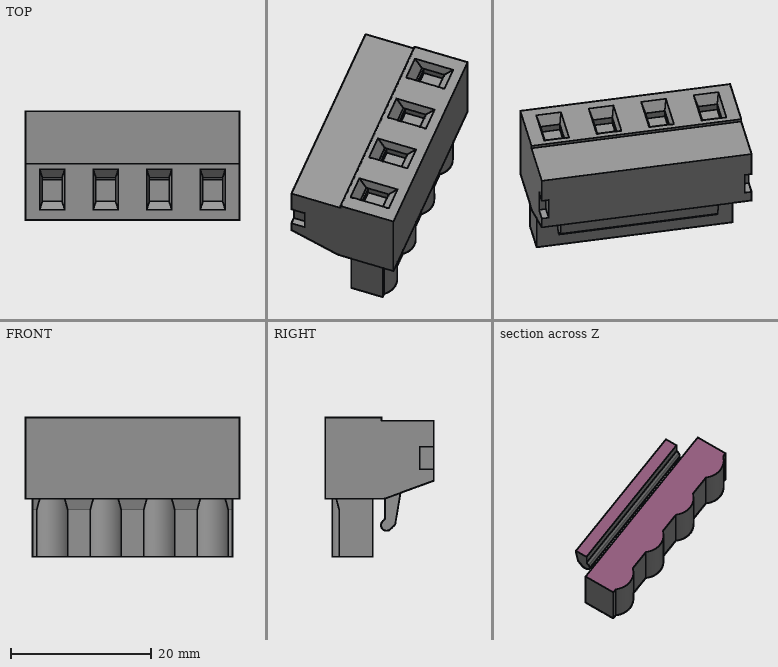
import cadquery as cq
import math


poles = 4
pitch = 7.62
total_height = 19.85

housing_depth = 15.5
housing_bottom = 8.25
back_top_drop = 0.45
step_y = 8.05
slope_start_y = 8.4
slope_angle = 20

groove_depth = 1.0
groove_length = 2.0
groove_bottom = 12.45
groove_height = 3.25

base_inset = 1.0
base_front_y = 2.0
base_back_y = 6.8
tower_front_y = 1.0
tower_radius = 2.9
gusset_height = 1.5
gusset_angle = 15

funnel_width = 3.6
funnel_length = 5.8
funnel_center_y = 4.35
funnel_depth = 1.2
side_taper = 0.4
end_taper = 1.2
ledge_width = 0.3
well_depth = 1.0

latch_front_y = 8.5
latch_root_y = 10.75
latch_elbow_y = 10.0
hook_radius = 0.8
hook_center_y = 8.75
hook_bottom = 3.7

housing_width = poles * pitch
half_width = housing_width / 2
base_width = housing_width - 2 * base_inset
latch_width = (poles - 1) * pitch
pole_positions = [(i - (poles - 1) / 2) * pitch for i in range(poles)]


def extrude_along_x(profile, width):
    """Extrude a closed YZ profile by `width`, centred on X = 0."""
    return profile.extrude(width / 2, both=True)


def sloped_underside(y):
    """Height of the sloping underside of the housing at depth y."""
    return housing_bottom + (y - slope_start_y) * math.tan(math.radians(slope_angle))


def make_housing():
    back_top = total_height - back_top_drop
    profile = cq.Workplane("YZ").polyline([
        (0, housing_bottom),
        (slope_start_y, housing_bottom),
        (housing_depth, sloped_underside(housing_depth)),
        (housing_depth, back_top),
        (step_y, back_top),
        (step_y, total_height),
        (0, total_height),
    ]).close()
    return extrude_along_x(profile, housing_width)


def make_end_groove(side):
    """Groove open to the back in the end face at side = -1 or +1."""
    return cq.Workplane("XY").box(2 * groove_depth, 2 * groove_length, groove_height).translate(
        (side * half_width, housing_depth, groove_bottom + groove_height / 2)
    )


def make_base():
    """Plug base whose front flares forward where it meets the housing."""
    flare = gusset_height * math.tan(math.radians(gusset_angle))
    profile = cq.Workplane("YZ").polyline([
        (base_front_y, 0),
        (base_back_y, 0),
        (base_back_y, housing_bottom),
        (base_front_y - flare, housing_bottom),
        (base_front_y, housing_bottom - gusset_height),
    ]).close()
    return extrude_along_x(profile, base_width)


def make_tower(x):
    """Round front of a contact tower, a circular segment standing on the base."""
    center_y = tower_front_y + tower_radius
    half_chord = math.sqrt(tower_radius**2 - (center_y - base_front_y) ** 2)
    return (
        cq.Workplane("XY")
        .moveTo(x - half_chord, base_front_y)
        .threePointArc((x, tower_front_y), (x + half_chord, base_front_y))
        .close()
        .extrude(housing_bottom)
    )


def make_latch():
    """Tapered arm ending in a 45 degree hook with a round tip."""
    hook_center_z = hook_bottom + hook_radius
    diagonal = hook_radius * math.sqrt(0.5)
    outer_tangent = (hook_center_y + diagonal, hook_center_z - diagonal)
    inner_tangent = (hook_center_y - diagonal, hook_center_z + diagonal)
    tip = (hook_center_y - diagonal, hook_center_z - diagonal)
    elbow_z = outer_tangent[1] + latch_elbow_y - outer_tangent[0]
    throat_z = inner_tangent[1] + latch_front_y - inner_tangent[0]
    profile = (
        cq.Workplane("YZ")
        .moveTo(latch_root_y, sloped_underside(latch_root_y))
        .lineTo(latch_elbow_y, elbow_z)
        .lineTo(*outer_tangent)
        .threePointArc(tip, inner_tangent)
        .lineTo(latch_front_y, throat_z)
        .lineTo(latch_front_y, sloped_underside(latch_root_y))
        .close()
    )
    return extrude_along_x(profile, latch_width)


def make_funnel(x):
    """Tapered mouth with a straight well below it, leaving a ledge at the back."""
    inner_width = funnel_width - 2 * side_taper
    inner_length = funnel_length - 2 * end_taper
    mouth = (
        cq.Workplane("XY", origin=(x, funnel_center_y, total_height))
        .rect(funnel_width, funnel_length)
        .workplane(offset=-funnel_depth)
        .rect(inner_width, inner_length)
        .loft()
    )
    well_top = total_height - funnel_depth
    well = (
        cq.Workplane("XY", origin=(x, funnel_center_y - ledge_width / 2, well_top))
        .rect(inner_width, inner_length - ledge_width)
        .extrude(-well_depth)
    )
    return mouth.union(well)


result = make_housing().union(make_base()).union(make_latch())
for pole_x in pole_positions:
    result = result.union(make_tower(pole_x)).cut(make_funnel(pole_x))
for end in (-1, 1):
    result = result.cut(make_end_groove(end))